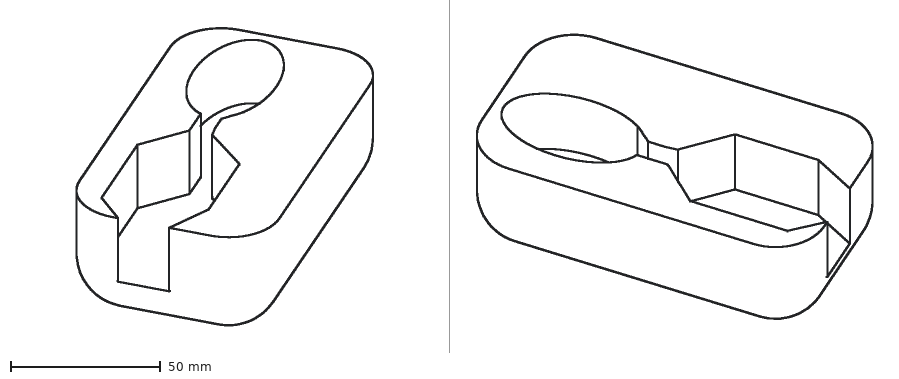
import cadquery as cq

WIDTH = 70.98
LENGTH = 126.02
HEIGHT = 42.7
EDGE_RADIUS = 18.0

POCKET_DEPTH = 25.0
FRONT_Y = -LENGTH / 2

BOWL_X = -8.3
BOWL_Y = 33.5
BOWL_HALF_WIDTH = 14.75
BOWL_HALF_LENGTH = 25.5

MOUTH_LEFT_X = -15.3
MOUTH_RIGHT_X = 2.8

HANDLE_LEFT_X = -24.9
HANDLE_RIGHT_X = 11.3
HANDLE_LEFT_FRONT_Y = -52.7
HANDLE_RIGHT_FRONT_Y = -47.6
HANDLE_BACK_Y = -17.0

NECK_LEFT_X = -11.6
NECK_RIGHT_X = -4.0
NECK_FRONT_RIGHT_X = -3.5
NECK_FRONT_Y = -2.7
NECK_BEND_Y = 1.6
NECK_BACK_Y = 8.0

SHOULDER_START = (-3.2, 8.8)
SHOULDER_END = (1.5, 14.4)


def make_block():
    """Rectangular block with rounded upright and bottom edges and a sharp top."""
    block = cq.Workplane("XY").box(WIDTH, LENGTH, HEIGHT, centered=(True, True, False))
    return block.edges("|Z or <Z").fillet(EDGE_RADIUS)


def make_bowl(floor):
    """Elliptical end of the pocket."""
    return (
        floor.center(BOWL_X, BOWL_Y)
        .ellipse(BOWL_HALF_WIDTH, BOWL_HALF_LENGTH)
        .extrude(POCKET_DEPTH)
    )


def make_handle(floor):
    """Handle recess and neck, running from the front face into the bowl."""
    outline = [
        (MOUTH_LEFT_X, FRONT_Y),
        (MOUTH_RIGHT_X, FRONT_Y),
        (HANDLE_RIGHT_X, HANDLE_RIGHT_FRONT_Y),
        (HANDLE_RIGHT_X, HANDLE_BACK_Y),
        (NECK_FRONT_RIGHT_X, NECK_FRONT_Y),
        (NECK_RIGHT_X, NECK_BEND_Y),
        (NECK_RIGHT_X, NECK_BACK_Y),
        SHOULDER_START,
        SHOULDER_END,
        (BOWL_X, BOWL_Y),
        (NECK_LEFT_X, NECK_BACK_Y),
        (NECK_LEFT_X, NECK_FRONT_Y),
        (HANDLE_LEFT_X, HANDLE_BACK_Y),
        (HANDLE_LEFT_X, HANDLE_LEFT_FRONT_Y),
    ]
    return floor.polyline(outline).close().extrude(POCKET_DEPTH)


pocket_floor = cq.Workplane("XY").workplane(offset=HEIGHT - POCKET_DEPTH)
result = make_block().cut(make_bowl(pocket_floor)).cut(make_handle(pocket_floor))